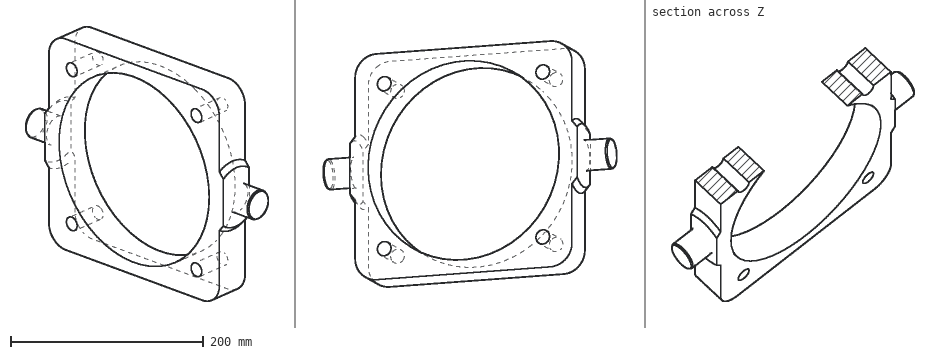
import cadquery as cq

plate_side = 240.0
thickness = 40.0
corner_radius = 24.0
bore_diameter = 211.0
hole_diameter = 15.0
hole_spacing = 175.2

overall_length = 314.0
boss_span = 251.2
boss_face_radius = 33.3
pin_radius = 16.0
tip_chamfer_length = 1.5
tip_chamfer_depth = 1.0
root_fillet = 2.5
plate_overlap = 3.0

pin_end = overall_length / 2
boss_face = boss_span / 2
plate_edge = plate_side / 2
boss_base_radius = boss_face_radius + boss_face - plate_edge


def make_plate():
    """Rounded square plate with a central bore and four corner holes."""
    plate = (
        cq.Workplane("XZ", origin=(0, thickness / 2, 0))
        .rect(plate_side, plate_side)
        .extrude(thickness)
        .edges("|Y")
        .fillet(corner_radius)
    )
    openings = (
        cq.Workplane("XZ", origin=(0, thickness / 2, 0))
        .circle(bore_diameter / 2)
        .rect(hole_spacing, hole_spacing, forConstruction=True)
        .vertices()
        .circle(hole_diameter / 2)
        .extrude(thickness)
    )
    return plate.cut(openings)


def make_trunnion():
    """Boss and pin on the +X side, revolved about X and trimmed to the plate thickness."""
    embedded_face = plate_edge - plate_overlap
    turned = (
        cq.Workplane("XY")
        .moveTo(embedded_face, 0)
        .lineTo(embedded_face, boss_base_radius)
        .lineTo(plate_edge, boss_base_radius)
        .lineTo(boss_face, boss_face_radius)
        .lineTo(boss_face, pin_radius + root_fillet)
        .radiusArc((boss_face + root_fillet, pin_radius), -root_fillet)
        .lineTo(pin_end - tip_chamfer_length, pin_radius)
        .lineTo(pin_end, pin_radius - tip_chamfer_depth)
        .lineTo(pin_end, 0)
        .close()
        .revolve(360, (0, 0, 0), (1, 0, 0))
    )
    envelope = cq.Workplane("XY").box(overall_length, thickness, plate_side)
    return turned.intersect(envelope)


trunnion = make_trunnion()
result = make_plate().union(trunnion).union(trunnion.mirror("YZ"))